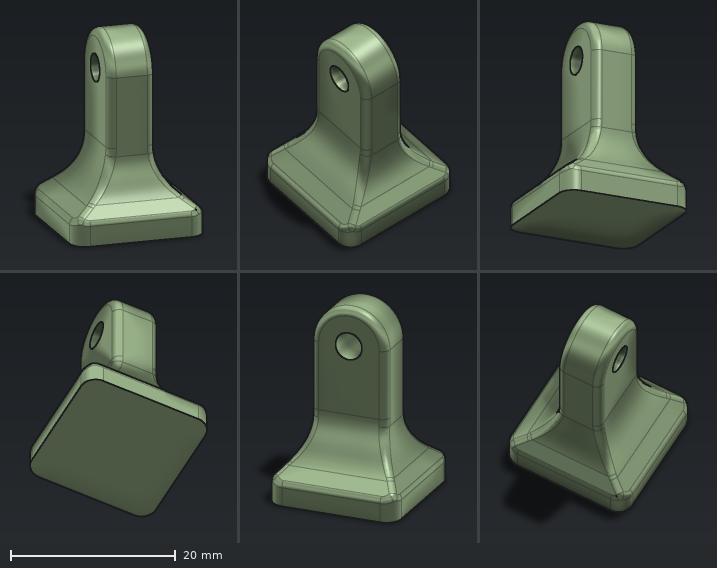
import cadquery as cq
import math

base_size = 17
base_height = 3
base_corner_radius = 2

lug_width = 10
lug_thickness = 6
total_height = 25
hole_diameter = 3.5
hole_height = total_height - lug_width / 2

shoulder_top = 7
flare_radius = 8
edge_radius = 1

half_base = base_size / 2


def flared_profile(plane, lug_size):
    """Symmetric outline of foot, slope, concave flare and lug, extruded across the foot."""
    half_lug = lug_size / 2
    run = half_base - half_lug
    rise = shoulder_top - base_height
    turn = math.atan2(run, rise)
    tangent_length = flare_radius * math.tan(turn / 2)

    flare_low_x = half_lug + tangent_length * math.sin(turn)
    flare_low_z = shoulder_top - tangent_length * math.cos(turn)
    flare_mid_x = half_lug + flare_radius * (1 - math.cos(turn / 2))
    flare_high_z = shoulder_top + tangent_length
    flare_mid_z = flare_high_z - flare_radius * math.sin(turn / 2)

    return (
        cq.Workplane(plane)
        .workplane(offset=-half_base)
        .moveTo(-half_base, 0)
        .lineTo(half_base, 0)
        .lineTo(half_base, base_height)
        .lineTo(flare_low_x, flare_low_z)
        .threePointArc((flare_mid_x, flare_mid_z), (half_lug, flare_high_z))
        .lineTo(half_lug, total_height)
        .lineTo(-half_lug, total_height)
        .lineTo(-half_lug, flare_high_z)
        .threePointArc((-flare_mid_x, flare_mid_z), (-flare_low_x, flare_low_z))
        .lineTo(-half_base, base_height)
        .close()
        .extrude(base_size)
    )


def rounded_foot_prism():
    """Full-height prism with the rounded outline of the foot."""
    return (
        cq.Workplane("XY")
        .rect(base_size, base_size)
        .extrude(total_height)
        .edges("|Z")
        .fillet(base_corner_radius)
    )


def lug_top_envelope():
    """Foot-wide block below the hole axis, with the round lug end above it."""
    block = cq.Workplane("XY").box(base_size, base_size, hole_height, centered=(True, True, False))
    round_end = (
        cq.Workplane("XZ")
        .workplane(offset=-half_base)
        .center(0, hole_height)
        .circle(lug_width / 2)
        .extrude(base_size)
    )
    return block.union(round_end)


body = (
    flared_profile("XZ", lug_width)
    .intersect(flared_profile("YZ", lug_thickness))
    .intersect(lug_top_envelope())
    .intersect(rounded_foot_prism())
)

rim_tolerance = 0.25


def is_rounded(edge):
    center = edge.Center()
    if center.z < base_height - rim_tolerance:
        return False
    on_rim = center.z < base_height + rim_tolerance
    on_symmetry_plane = min(abs(center.x), abs(center.y)) < rim_tolerance
    return on_rim or not on_symmetry_plane


body = body.edges().filter(is_rounded).fillet(edge_radius)

hole = (
    cq.Workplane("XZ")
    .workplane(offset=-half_base)
    .center(0, hole_height)
    .circle(hole_diameter / 2)
    .extrude(base_size)
)
result = body.cut(hole)